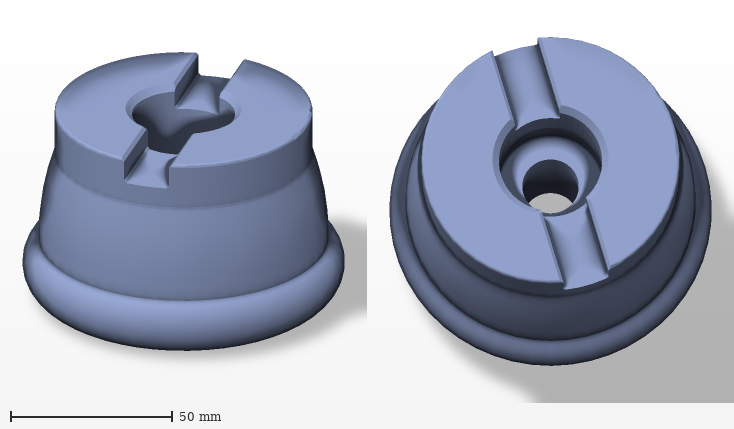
import cadquery as cq
import math

RING_EDGE_RADIUS = 10.0
RING_RADIUS = 50.0
BODY_BASE_RADIUS = 90.1 / 2
ring_edge_center = RING_RADIUS - RING_EDGE_RADIUS
ring_height = RING_EDGE_RADIUS + math.sqrt(
    RING_EDGE_RADIUS**2 - (BODY_BASE_RADIUS - ring_edge_center) ** 2
)

TOTAL_HEIGHT = 63.0
NECK_RADIUS = 40.0
NECK_BASE_Z = 48.0
NECK_BLEND_RADIUS = 2.5
RIM_FILLET = 1.0

BORE_DIAMETER = 32.0
BORE_CHAMFER = 2.0
RELIEF_DIAMETER = 32.5
RELIEF_TOP_Z = 44.5
BORE_FLOOR_Z = 35.0
BORE_FLOOR_FILLET = 0.8
SCREW_HOLE_DIAMETER = 17.5

SLOT_WIDTH = 14.5
SLOT_DEPTH = 8.2
SLOT_FLOOR_CHAMFER = 0.8
SLOT_LIP_CHAMFER = 1.0


def cylinder(diameter, bottom_z, top_z):
    """Solid cylinder about the Z axis."""
    return cq.Workplane("XY").workplane(offset=bottom_z).circle(diameter / 2).extrude(top_z - bottom_z)


def make_ring():
    """Rounded disc that forms the lower end, with the screw hole through it."""
    profile = (
        cq.Workplane("XZ")
        .lineTo(ring_edge_center, 0)
        .threePointArc((RING_RADIUS, RING_EDGE_RADIUS), (BODY_BASE_RADIUS, ring_height))
        .lineTo(0, ring_height)
        .close()
    )
    ring = profile.revolve(360, (0, 0, 0), (0, 1, 0))
    return ring.cut(cylinder(SCREW_HOLE_DIAMETER, 0, ring_height))


def make_holder_blank():
    """Bulged flank, vertical at its base, blended into a cylindrical neck with a rounded rim."""
    height_rise = NECK_BASE_Z - ring_height
    radius_drop = BODY_BASE_RADIUS - NECK_RADIUS
    flank_radius = (height_rise**2 + radius_drop**2) / (2 * radius_drop)
    flank_center = BODY_BASE_RADIUS - flank_radius
    half_angle = math.asin(height_rise / flank_radius) / 2
    flank_middle = (
        flank_center + flank_radius * math.cos(half_angle),
        ring_height + flank_radius * math.sin(half_angle),
    )
    profile = (
        cq.Workplane("XZ")
        .moveTo(0, ring_height)
        .lineTo(BODY_BASE_RADIUS, ring_height)
        .threePointArc(flank_middle, (NECK_RADIUS, NECK_BASE_Z))
        .lineTo(NECK_RADIUS, TOTAL_HEIGHT)
        .lineTo(0, TOTAL_HEIGHT)
        .close()
    )
    blank = profile.revolve(360, (0, 0, 0), (0, 1, 0))
    blank = blank.faces(">Z").edges().fillet(RIM_FILLET)
    neck_edge = cq.selectors.NearestToPointSelector((0, 0, NECK_BASE_Z))
    return blank.edges("%CIRCLE").edges(neck_edge).fillet(NECK_BLEND_RADIUS)


def make_bore():
    """Cutter for the chamfered bore, its wider relief and the screw hole."""
    relief = cylinder(RELIEF_DIAMETER, BORE_FLOOR_Z, RELIEF_TOP_Z)
    relief = relief.faces("<Z").edges().fillet(BORE_FLOOR_FILLET)
    bore = cylinder(BORE_DIAMETER, RELIEF_TOP_Z, TOTAL_HEIGHT)
    mouth = cq.Workplane(
        cq.Solid.makeCone(
            BORE_DIAMETER / 2,
            BORE_DIAMETER / 2 + BORE_CHAMFER,
            BORE_CHAMFER,
            pnt=cq.Vector(0, 0, TOTAL_HEIGHT - BORE_CHAMFER),
        )
    )
    screw_hole = cylinder(SCREW_HOLE_DIAMETER, ring_height, BORE_FLOOR_Z)
    return relief.union(bore).union(mouth).union(screw_hole)


def make_slot():
    """Cutter for the driving slot, with chamfered floor corners and lips."""
    half_width = SLOT_WIDTH / 2
    floor_z = TOTAL_HEIGHT - SLOT_DEPTH
    slot = (
        cq.Workplane("XZ")
        .moveTo(-half_width, floor_z)
        .lineTo(half_width, floor_z)
        .lineTo(half_width, TOTAL_HEIGHT - SLOT_LIP_CHAMFER)
        .lineTo(half_width + SLOT_LIP_CHAMFER, TOTAL_HEIGHT)
        .lineTo(-half_width - SLOT_LIP_CHAMFER, TOTAL_HEIGHT)
        .lineTo(-half_width, TOTAL_HEIGHT - SLOT_LIP_CHAMFER)
        .close()
        .extrude(RING_RADIUS, both=True)
    )
    return slot.faces("<Z").edges("|Y").chamfer(SLOT_FLOOR_CHAMFER)


def make_holder():
    """Holder with the bore and the driving slot cut from its top."""
    return make_holder_blank().cut(make_bore()).cut(make_slot())


ring = make_ring()
holder = make_holder()
result = cq.Compound.makeCompound([ring.val(), holder.val()])